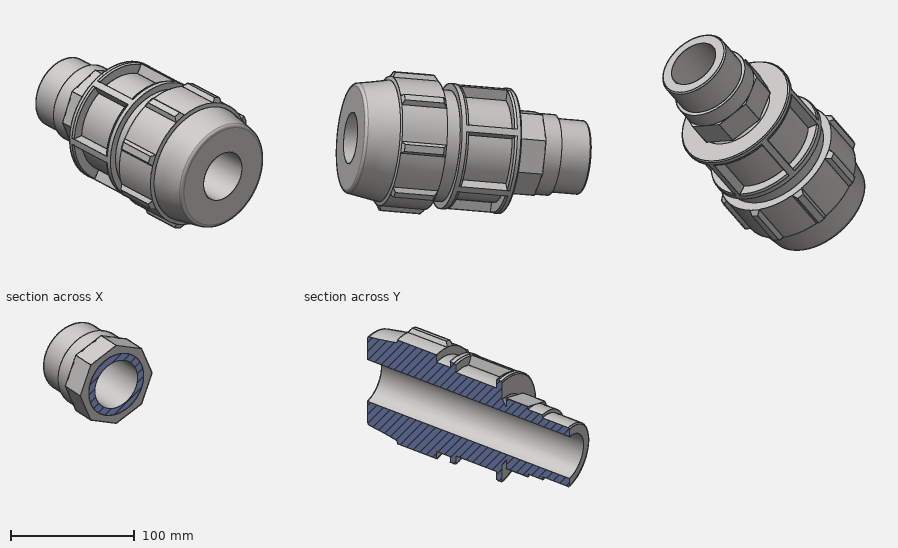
import cadquery as cq
import math

length = 194.0
span_across_ribs = 106.3
collar_start = 25.8
wrench_start = 39.8
wrench_end = 61.0
flange_start = 64.5
window_start = 70.2
window_end = 108.8
flange_end = 114.7
nut_start = 127.5
nut_shoulder = 166.0

bore_radius = 41.7 / 2
spigot_radius = 29.9
collar_radius = 65.5 / 2
neck_small_radius = 27.2
neck_large_radius = 32.8
flange_radius = 101.7 / 2
window_floor_radius = 42.3
body_radius = 90.5 / 2
nut_radius = 52.5
tail_start_radius = 49.5
tail_end_radius = 44.5

spigot_chamfer = 1.2
flange_chamfer = 1.0
window_chamfer_length = 2.0
window_chamfer_depth = 0.8
nut_chamfer_length = 1.0
tail_fillet = 2.7

wrench_sides = 8
wrench_circumradius = collar_radius / math.cos(math.pi / wrench_sides)

bar_count = 6
bar_width = 5.8

rib_count = 8
rib_tip_width = 5.8
rib_base_width = 9.5
rib_front_slope = 3.0
rib_back_slope = 2.0

half_pitch = math.pi / rib_count
corner_rise = rib_tip_width / 2 * math.sin(half_pitch)
rib_tip_radius = (span_across_ribs / 2 - corner_rise) / math.cos(half_pitch)


def turned_body():
    """Solid of revolution about X, with the window band as a plain groove."""
    chamfered_radius = flange_radius - flange_chamfer
    window_edge_radius = flange_radius - window_chamfer_depth
    profile = [
        (0, 0),
        (0, spigot_radius - spigot_chamfer),
        (spigot_chamfer, spigot_radius),
        (collar_start, spigot_radius),
        (collar_start, collar_radius),
        (wrench_start, collar_radius),
        (wrench_start, neck_small_radius),
        (wrench_end, neck_small_radius),
        (flange_start, neck_large_radius),
        (flange_start, chamfered_radius),
        (flange_start + flange_chamfer, flange_radius),
        (window_start - window_chamfer_length, flange_radius),
        (window_start, window_edge_radius),
        (window_start, window_floor_radius),
        (window_end, window_floor_radius),
        (window_end, window_edge_radius),
        (window_end + window_chamfer_length, flange_radius),
        (flange_end, flange_radius),
        (flange_end, body_radius),
        (nut_start, body_radius),
        (nut_start, nut_radius),
        (nut_shoulder - nut_chamfer_length, nut_radius),
        (nut_shoulder, tail_start_radius),
        (length, tail_end_radius),
        (length, 0),
    ]
    solid = cq.Workplane("XY").polyline(profile).close().revolve(360, (0, 0, 0), (1, 0, 0))
    return solid.faces(">X").edges().fillet(tail_fillet)


def wrench_section():
    """Octagonal prism with corners on the Y and Z axes."""
    plane = cq.Workplane("YZ").workplane(offset=wrench_start)
    octagon = plane.polygon(wrench_sides, 2 * wrench_circumradius)
    return octagon.extrude(wrench_end - wrench_start)


def window_bars():
    """Bars bridging the groove, flush with the flange rims."""
    bars_start = window_start - window_chamfer_length
    bars_length = window_end + window_chamfer_length - bars_start
    plane = cq.Workplane("YZ").workplane(offset=bars_start)
    spoke = plane.rect(2 * flange_radius + bar_width, bar_width).extrude(bars_length)
    spokes = spoke
    for index in range(1, bar_count // 2):
        spokes = spokes.union(spoke.rotate((0, 0, 0), (1, 0, 0), index * 360 / bar_count))
    return spokes.intersect(plane.circle(flange_radius).extrude(bars_length))


def grip_rib():
    """Tapered rib along X on the +Z side, with both ends sloped."""
    root_radius = body_radius
    rib_end = nut_shoulder - nut_chamfer_length
    half_tip = rib_tip_width / 2
    flare = (rib_base_width / 2 - half_tip) / (rib_tip_radius - nut_radius)
    half_root = half_tip + flare * (rib_tip_radius - root_radius)
    section = [
        (-half_root, root_radius),
        (-half_tip, rib_tip_radius),
        (half_tip, rib_tip_radius),
        (half_root, root_radius),
    ]
    side = [
        (nut_start, root_radius),
        (nut_start, nut_radius),
        (nut_start + rib_front_slope, rib_tip_radius),
        (rib_end - rib_back_slope, rib_tip_radius),
        (rib_end, nut_radius),
        (rib_end, root_radius),
    ]
    bar = cq.Workplane("YZ").polyline(section).close().extrude(length)
    slab = cq.Workplane("XZ").polyline(side).close().extrude(half_root, both=True)
    return bar.intersect(slab)


result = turned_body().union(wrench_section()).union(window_bars())

rib = grip_rib()
rib_pitch = 360 / rib_count
for index in range(rib_count):
    result = result.union(rib.rotate((0, 0, 0), (1, 0, 0), (index + 0.5) * rib_pitch))

bore = cq.Workplane("YZ").circle(bore_radius).extrude(length)
result = result.cut(bore)